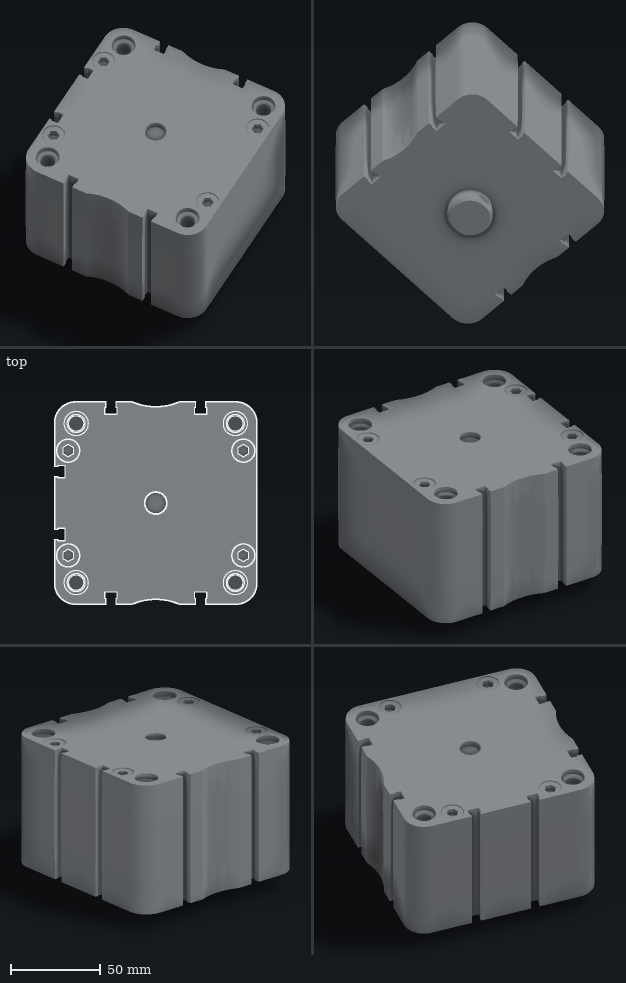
import cadquery as cq
import math

width = 113.5
corner_radius = 12.0
cap_height = 19.75
barrel_height = 38.0
rod_projection = 9.5
cap_draft = 0.75

barrel_top = -cap_height
barrel_bottom = barrel_top - barrel_height
body_bottom = barrel_bottom - cap_height
half_width = width / 2

hollow_chord = 26.8
hollow_depth = 2.8

side_slot_offset = 25.1
side_slot_throat_width = 5.5
side_slot_throat_depth = 3.4
side_slot_channel_width = 6.6
side_slot_depth = 7.0
left_slot_offset = 17.6
left_slot_throat_width = 5.5
left_slot_throat_depth = 2.0
left_slot_channel_width = 6.8
left_slot_depth = 5.9

mount_offset = 44.5
mount_counterbore_diameter = 13.5
mount_counterbore_depth = 3.3
mount_countersink_diameter = 10.11
mount_hole_diameter = 8.57
mount_hole_depth = 17.0

screw_x = 49.0
screw_y = 29.3
head_recess_diameter = 13.1
head_diameter = 12.7
head_sink = 0.5
head_groove_depth = 5.0
hex_across_flats = 6.0
hex_depth = 4.5

centring_diameter = 12.0
centring_mouth_diameter = 12.7
centring_depth = 4.0

rod_diameter = 25.0
rod_end_chamfer_radial = 1.25
rod_end_chamfer_length = 1.8
rod_across_flats = 22.0
flat_gap = 2.8


def body_outline(z):
    """Rounded square with a round hollow in the middle of its front and rear sides."""
    straight = half_width - corner_radius
    diagonal = straight + corner_radius * math.sqrt(0.5)
    hollow_half = hollow_chord / 2
    hollow_y = half_width - hollow_depth
    return (
        cq.Workplane("XY", origin=(0, 0, z))
        .moveTo(-straight, -half_width)
        .lineTo(-hollow_half, -half_width)
        .threePointArc((0, -hollow_y), (hollow_half, -half_width))
        .lineTo(straight, -half_width)
        .threePointArc((diagonal, -diagonal), (half_width, -straight))
        .lineTo(half_width, straight)
        .threePointArc((diagonal, diagonal), (straight, half_width))
        .lineTo(hollow_half, half_width)
        .threePointArc((0, hollow_y), (-hollow_half, half_width))
        .lineTo(-straight, half_width)
        .threePointArc((-diagonal, diagonal), (-half_width, straight))
        .lineTo(-half_width, -straight)
        .threePointArc((-diagonal, -diagonal), (-straight, -half_width))
        .close()
    )


def vertical_slot(offset, throat_width, throat_depth, channel_width, depth):
    """Full-height slot cut into the -X side at Y = offset."""
    height = -body_bottom
    throat = cq.Workplane("XY", origin=(-half_width, offset, body_bottom)).rect(
        2 * depth, throat_width
    ).extrude(height)
    channel = (
        cq.Workplane("XY", origin=(-half_width + (throat_depth + depth) / 2, offset, body_bottom))
        .rect(depth - throat_depth, channel_width)
        .extrude(height)
    )
    return throat.union(channel)


def sensor_slots():
    """The two slots in the -X side and the two in each of the front and rear sides."""
    slots = cq.Workplane("XY")
    for sign in (-1, 1):
        slots = slots.union(vertical_slot(
            sign * left_slot_offset, left_slot_throat_width, left_slot_throat_depth,
            left_slot_channel_width, left_slot_depth,
        ))
        side_slot = vertical_slot(
            sign * side_slot_offset, side_slot_throat_width, side_slot_throat_depth,
            side_slot_channel_width, side_slot_depth,
        )
        for angle in (-90, 90):
            slots = slots.union(side_slot.rotate((0, 0, 0), (0, 0, 1), angle))
    return slots


def drilled(points, diameter, depth):
    """Cylinders going down from the top face."""
    return cq.Workplane("XY").pushPoints(points).circle(diameter / 2).extrude(-depth)


def mirrored_points(x, y):
    """One point in each quadrant."""
    return [(sx * x, sy * y) for sx in (-1, 1) for sy in (-1, 1)]


def stepped_down_cone(top_diameter, bottom_diameter, z):
    """45 degree cone that narrows downwards from height z on the Z axis."""
    length = (top_diameter - bottom_diameter) / 2
    return cq.Workplane(cq.Solid.makeCone(
        bottom_diameter / 2, top_diameter / 2, length, pnt=cq.Vector(0, 0, z - length)
    ))


def mounting_holes():
    """Counterbored and countersunk corner holes."""
    points = mirrored_points(mount_offset, mount_offset)
    holes = drilled(points, mount_counterbore_diameter, mount_counterbore_depth)
    holes = holes.union(drilled(points, mount_hole_diameter, mount_hole_depth))
    countersink = stepped_down_cone(
        mount_countersink_diameter, mount_hole_diameter, -mount_counterbore_depth
    )
    for x, y in points:
        holes = holes.union(countersink.translate((x, y, 0)))
    return holes


def screw_head_cuts():
    """Sunken tops, surrounding ring grooves and hexagon sockets of the four screw heads."""
    points = mirrored_points(screw_x, screw_y)
    heads = drilled(points, head_diameter, head_groove_depth).translate((0, 0, -head_sink))
    cuts = drilled(points, head_recess_diameter, head_groove_depth).cut(heads)
    hex_across_corners = hex_across_flats / math.cos(math.pi / 6)
    socket = (
        cq.Workplane("XY")
        .polygon(6, hex_across_corners)
        .extrude(-hex_depth)
        .rotate((0, 0, 0), (0, 0, 1), 30)
    )
    for x, y in points:
        cuts = cuts.union(socket.translate((x, y, 0)))
    return cuts


def centring_hole():
    """Blind hole in the middle of the end cap with a chamfered mouth."""
    hole = drilled([(0, 0)], centring_diameter, centring_depth)
    return hole.union(stepped_down_cone(centring_mouth_diameter, centring_diameter, 0))


def make_barrel():
    return body_outline(barrel_bottom).extrude(barrel_height).cut(sensor_slots())


def make_end_cap():
    cap = body_outline(barrel_top).extrude(cap_height, taper=cap_draft).cut(sensor_slots())
    return cap.cut(mounting_holes()).cut(screw_head_cuts()).cut(centring_hole())


def make_bearing_cap():
    cap = body_outline(barrel_bottom).extrude(-cap_height, taper=cap_draft).cut(sensor_slots())
    rod_bore = (
        cq.Workplane("XY", origin=(0, 0, body_bottom))
        .circle(rod_diameter / 2)
        .extrude(cap_height)
    )
    return cap.cut(rod_bore)


def make_piston_rod():
    """Rod from the barrel through the bearing cap, with two wrench flats facing -X and +X."""
    radius = rod_diameter / 2
    rod_end = body_bottom - rod_projection
    rod = (
        cq.Workplane("XZ")
        .moveTo(0, rod_end)
        .lineTo(radius - rod_end_chamfer_radial, rod_end)
        .lineTo(radius, rod_end + rod_end_chamfer_length)
        .lineTo(radius, barrel_bottom)
        .lineTo(0, barrel_bottom)
        .close()
        .revolve(360, (0, 0, 0), (0, 1, 0))
    )
    flat_x = rod_across_flats / 2
    flat_top = body_bottom - flat_gap
    run_out = radius - flat_x
    flat_cut = (
        cq.Workplane("XZ")
        .moveTo(flat_x, rod_end)
        .lineTo(radius, rod_end)
        .lineTo(radius, flat_top + run_out)
        .lineTo(flat_x, flat_top)
        .close()
        .extrude(radius, both=True)
    )
    return rod.cut(flat_cut).cut(flat_cut.mirror("YZ"))


barrel = make_barrel()
end_cap = make_end_cap()
bearing_cap = make_bearing_cap()
piston_rod = make_piston_rod()

result = cq.Compound.makeCompound(
    [barrel.val(), end_cap.val(), bearing_cap.val(), piston_rod.val()]
)